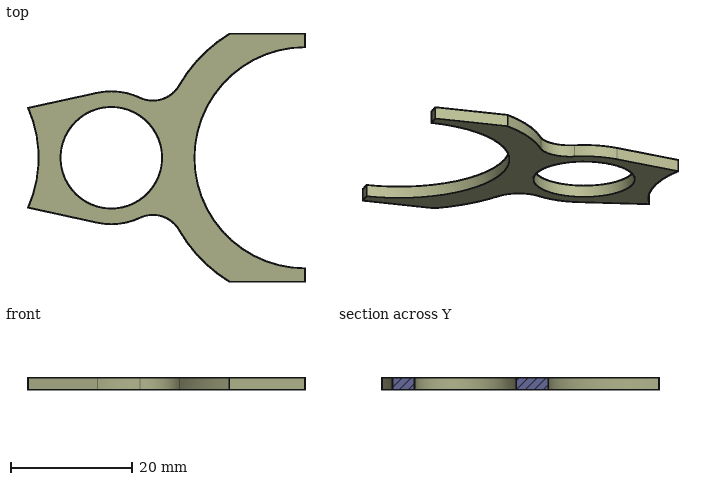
import cadquery as cq
import math

thickness = 2.0
overall_length = 45.77
overall_width = 41.0
fork_inner_radius = 18.25
fork_outer_radius = 24.0
ring_hole_diameter = 16.75
ring_outer_radius = 11.0
ring_to_fork = 32.0
neck_fillet_radius = 5.0
tail_width = 16.5
tail_arc_radius = 20.5

half_width = overall_width / 2
ring_x = -ring_to_fork


def point_toward(start, end, distance):
    """Point at the given distance from start on the ray through end."""
    ratio = distance / math.dist(start, end)
    return (start[0] + ratio * (end[0] - start[0]), start[1] + ratio * (end[1] - start[1]))


def point_on_circle(center, radius, angle):
    return (center[0] + radius * math.cos(angle), center[1] + radius * math.sin(angle))


def mirrored(point):
    return (point[0], -point[1])


fork_center = (0.0, 0.0)
ring_center = (ring_x, 0.0)

ring_reach = ring_outer_radius + neck_fillet_radius
fork_reach = fork_outer_radius + neck_fillet_radius
neck_x = (ring_reach**2 - fork_reach**2 - ring_to_fork**2) / (2 * ring_to_fork)
neck_center = (neck_x, math.sqrt(fork_reach**2 - neck_x**2))
neck_at_fork = point_toward(fork_center, neck_center, fork_outer_radius)
neck_at_ring = point_toward(ring_center, neck_center, ring_outer_radius)
neck_bottom = (neck_center[0], neck_center[1] - neck_fillet_radius)

prong_tip_outer = (0.0, half_width)
prong_tip_inner = (0.0, fork_inner_radius)
flat_start = (-math.sqrt(fork_outer_radius**2 - half_width**2), half_width)
arm_start_angle = math.atan2(flat_start[1], flat_start[0])
arm_end_angle = math.atan2(neck_at_fork[1], neck_at_fork[0])
arm_middle = point_on_circle(fork_center, fork_outer_radius, (arm_start_angle + arm_end_angle) / 2)

tail_corner = (-overall_length, tail_width / 2)
corner_direction = math.atan2(tail_corner[1], tail_corner[0] - ring_x)
tangent_offset = math.acos(ring_outer_radius / math.dist(ring_center, tail_corner))
tangent_angle = corner_direction - tangent_offset
tail_tangent = point_on_circle(ring_center, ring_outer_radius, tangent_angle)
neck_angle = math.atan2(neck_at_ring[1], neck_at_ring[0] - ring_x)
ring_middle = point_on_circle(ring_center, ring_outer_radius, (tangent_angle + neck_angle) / 2)
tail_sagitta = tail_arc_radius - math.sqrt(tail_arc_radius**2 - tail_corner[1] ** 2)
tail_middle = (-overall_length + tail_sagitta, 0.0)


def make_plate():
    """Extruded outline, symmetric about the X axis."""
    outline = (
        cq.Workplane("XY")
        .moveTo(*prong_tip_inner)
        .lineTo(*prong_tip_outer)
        .lineTo(*flat_start)
        .threePointArc(arm_middle, neck_at_fork)
        .threePointArc(neck_bottom, neck_at_ring)
        .threePointArc(ring_middle, tail_tangent)
        .lineTo(*tail_corner)
        .threePointArc(tail_middle, mirrored(tail_corner))
        .lineTo(*mirrored(tail_tangent))
        .threePointArc(mirrored(ring_middle), mirrored(neck_at_ring))
        .threePointArc(mirrored(neck_bottom), mirrored(neck_at_fork))
        .threePointArc(mirrored(arm_middle), mirrored(flat_start))
        .lineTo(*mirrored(prong_tip_outer))
        .lineTo(*mirrored(prong_tip_inner))
        .threePointArc((-fork_inner_radius, 0.0), prong_tip_inner)
        .close()
    )
    return outline.extrude(thickness)


def make_ring_hole():
    return cq.Workplane("XY").center(*ring_center).circle(ring_hole_diameter / 2).extrude(thickness)


result = make_plate().cut(make_ring_hole())